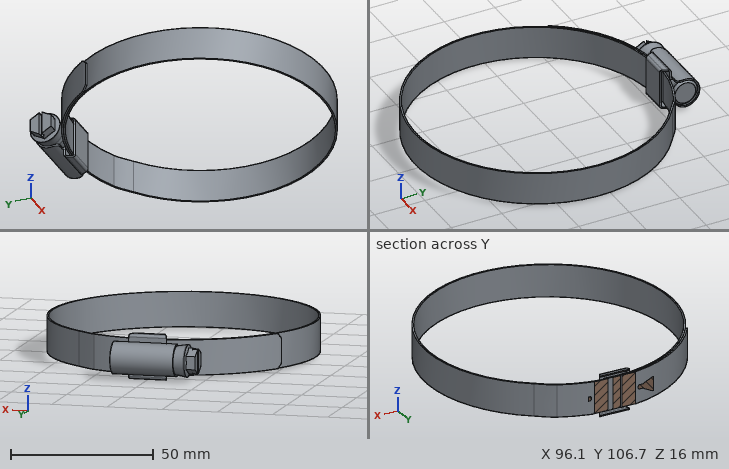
import cadquery as cq
import math

band_radius = 48.03
band_thickness = 0.65
band_width = 12.6
lap_gap = 0.04
lap_rise = band_thickness + lap_gap
tail_radius = band_radius + lap_rise
start_angle = 85.0
tail_end_angle = 149.5
step_top_angle = 64.5
step_foot_angle = 55.0
tail_corner = 1.8

screw_y = 52.95
screw_radius = 5.1
hex_start_x = -19.15
hex_sides = 6
hex_flats = 8.1
slot_width = 1.1
slot_depth = 1.8
flange_radius = 5.75
flange_face_radius = 4.0
flange_face_x = -15.95
flange_rim_front_x = -15.5
flange_rim_back_x = -15.2
tip_chamfer_length = 0.9
tip_radius = 4.1
worm_clearance = 0.1

sheet = 0.65
tunnel_radius = screw_radius + sheet
tunnel_half_length = 11.4
bracket_width = 16.0
bracket_top_y = 49.85
bracket_bottom_y = 46.0
bracket_top_half_length = 7.0
bracket_bottom_half_length = 5.1
bend_outer_radius = 1.0
bend_inner_radius = bend_outer_radius - sheet
skirt_bottom_y = 50.1
skirt_corner_radius = 2.3


def polar(radius, angle):
    """Point in XY at the given radius and angle in degrees."""
    return (radius * math.cos(math.radians(angle)), radius * math.sin(math.radians(angle)))


def tangent(angle):
    """Counterclockwise direction along the ring at the given angle."""
    return polar(1, angle + 90)


def make_band():
    inner_radius = band_radius - band_thickness
    tail_inner_radius = tail_radius - band_thickness
    ring_end = step_foot_angle + 360
    ring_middle = (start_angle + ring_end) / 2
    tail_middle = (step_top_angle + tail_end_angle) / 2
    step_directions = [tangent(step_foot_angle), tangent(step_top_angle)]
    step_back_directions = [tangent(step_top_angle + 180), tangent(step_foot_angle + 180)]
    strip = (
        cq.Workplane("XY", origin=(0, 0, -band_width / 2))
        .moveTo(*polar(band_radius, start_angle))
        .threePointArc(polar(band_radius, ring_middle), polar(band_radius, ring_end))
        .spline([polar(tail_radius, step_top_angle)], tangents=step_directions, includeCurrent=True)
        .threePointArc(polar(tail_radius, tail_middle), polar(tail_radius, tail_end_angle))
        .lineTo(*polar(tail_inner_radius, tail_end_angle))
        .threePointArc(polar(tail_inner_radius, tail_middle), polar(tail_inner_radius, step_top_angle))
        .spline([polar(inner_radius, step_foot_angle)], tangents=step_back_directions, includeCurrent=True)
        .threePointArc(polar(inner_radius, ring_middle), polar(inner_radius, start_angle))
        .close()
        .extrude(band_width)
    )
    corner_reach = band_thickness / 3
    tail_x, tail_y = polar(tail_radius - band_thickness / 2, tail_end_angle)
    for side in (-1, 1):
        corner_z = side * band_width / 2
        corner = cq.selectors.BoxSelector(
            (tail_x - corner_reach, tail_y - corner_reach, corner_z - corner_reach),
            (tail_x + corner_reach, tail_y + corner_reach, corner_z + corner_reach),
        )
        strip = strip.edges(corner).chamfer(tail_corner)
    return strip


def make_screw():
    waist_path_radius = tail_radius + worm_clearance
    waist_radius = screw_y - waist_path_radius
    waist_half_length = math.sqrt(waist_path_radius ** 2 - (screw_y - screw_radius) ** 2)
    shaft = (
        cq.Workplane("XY", origin=(0, screw_y, 0))
        .moveTo(flange_face_x, 0)
        .lineTo(flange_face_x, flange_face_radius)
        .lineTo(flange_rim_front_x, flange_radius)
        .lineTo(flange_rim_back_x, flange_radius)
        .lineTo(-tunnel_half_length, screw_radius)
        .lineTo(-waist_half_length, screw_radius)
        .threePointArc((0, waist_radius), (waist_half_length, screw_radius))
        .lineTo(tunnel_half_length - tip_chamfer_length, screw_radius)
        .lineTo(tunnel_half_length, tip_radius)
        .lineTo(tunnel_half_length, 0)
        .close()
        .revolve(360, (0, 0, 0), (1, 0, 0))
    )
    hex_corners = hex_flats / math.cos(math.radians(180 / hex_sides))
    drive = (
        cq.Workplane("YZ", origin=(hex_start_x, screw_y, 0))
        .transformed(rotate=(0, 0, 90))
        .polygon(hex_sides, hex_corners)
        .extrude(flange_rim_front_x - hex_start_x)
    )
    slot = cq.Workplane("XY").box(2 * slot_depth, slot_width, 2 * hex_flats)
    slot = slot.translate((hex_start_x, screw_y, 0))
    return shaft.union(drive).cut(slot)


def bracket_block(inset, bend_radius):
    """Bracket outline, moved inward by inset, as a bar along X with rounded edges."""
    low = bracket_bottom_y + inset
    high = bracket_top_y - inset
    bar = cq.Workplane("XY").box(2 * tunnel_half_length, high - low, bracket_width - 2 * inset)
    return bar.edges("|X").fillet(bend_radius).translate((0, (low + high) / 2, 0))


def tunnel_bar(radius):
    """Round bar on the screw axis, as long as the tunnel."""
    start = cq.Workplane("YZ", origin=(-tunnel_half_length, screw_y, 0))
    return start.circle(radius).extrude(2 * tunnel_half_length)


def make_housing():
    bent_sheet = (
        tunnel_bar(tunnel_radius)
        .union(bracket_block(0, bend_outer_radius))
        .cut(bracket_block(sheet, bend_inner_radius))
        .cut(tunnel_bar(screw_radius))
    )
    tunnel_top_y = screw_y + tunnel_radius
    tunnel_outline = (
        cq.Workplane("XY")
        .box(2 * tunnel_half_length, tunnel_top_y - skirt_bottom_y, bracket_width)
        .edges("|Z and <Y")
        .fillet(skirt_corner_radius)
        .translate((0, (tunnel_top_y + skirt_bottom_y) / 2, 0))
    )
    bracket_outline = (
        cq.Workplane("XY", origin=(0, 0, -bracket_width / 2))
        .moveTo(-bracket_bottom_half_length, bracket_bottom_y)
        .lineTo(bracket_bottom_half_length, bracket_bottom_y)
        .lineTo(bracket_top_half_length, skirt_bottom_y)
        .lineTo(-bracket_top_half_length, skirt_bottom_y)
        .close()
        .extrude(bracket_width)
    )
    return bent_sheet.intersect(tunnel_outline.union(bracket_outline))


band = make_band()
screw = make_screw()
housing = make_housing()

result = cq.Compound.makeCompound([body.solids().val() for body in (band, screw, housing)])